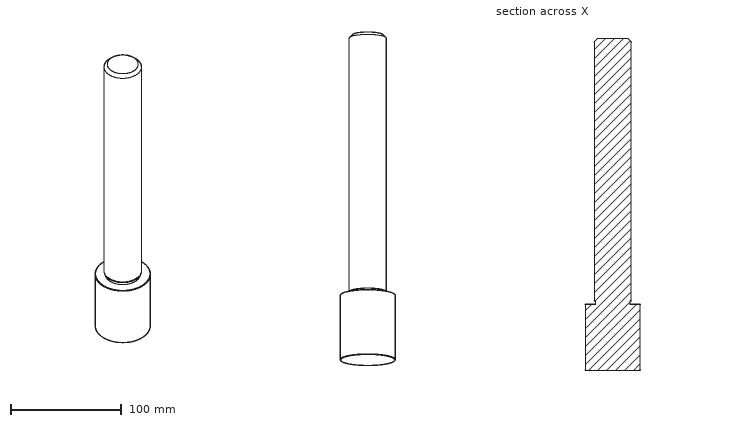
import cadquery as cq

total_length = 300.0
head_diameter = 50.0
head_length = 60.0
head_edge_chamfer = 0.5

shaft_diameter = 34.0
shaft_tip_chamfer = 3.0

neck_diameter = 32.0
neck_length = 3.0

head_radius = head_diameter / 2
shaft_radius = shaft_diameter / 2
neck_radius = neck_diameter / 2
neck_top = head_length + neck_length

half_section = (
    cq.Workplane("XZ")
    .moveTo(0, 0)
    .lineTo(head_radius - head_edge_chamfer, 0)
    .lineTo(head_radius, head_edge_chamfer)
    .lineTo(head_radius, head_length - head_edge_chamfer)
    .lineTo(head_radius - head_edge_chamfer, head_length)
    .lineTo(neck_radius, head_length)
    .lineTo(neck_radius, neck_top)
    .lineTo(shaft_radius, neck_top)
    .lineTo(shaft_radius, total_length - shaft_tip_chamfer)
    .lineTo(shaft_radius - shaft_tip_chamfer, total_length)
    .lineTo(0, total_length)
    .close()
)

result = half_section.revolve(360, (0, 0, 0), (0, 1, 0))